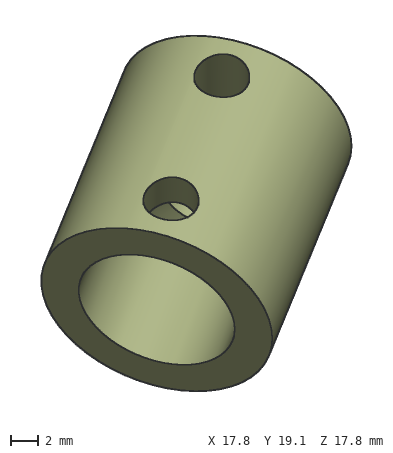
import cadquery as cq
import math

length = 19.05
outer_diameter = 17.77
wide_bore_diameter = 12.0
narrow_bore_diameter = 6.35
wide_bore_depth = length / 2
drill_point_angle = 118.0

screw_hole_diameter = 4.05
screw_hole_offset = 6.1

outer_radius = outer_diameter / 2
wide_radius = wide_bore_diameter / 2
narrow_radius = narrow_bore_diameter / 2
cone_depth = (wide_radius - narrow_radius) / math.tan(math.radians(drill_point_angle / 2))

front_y = -length / 2
back_y = length / 2
shoulder_y = front_y + wide_bore_depth

body = (
    cq.Workplane("XY")
    .moveTo(wide_radius, front_y)
    .lineTo(outer_radius, front_y)
    .lineTo(outer_radius, back_y)
    .lineTo(narrow_radius, back_y)
    .lineTo(narrow_radius, shoulder_y + cone_depth)
    .lineTo(wide_radius, shoulder_y)
    .close()
    .revolve(360, (0, 0, 0), (0, 1, 0))
)

screw_holes = (
    cq.Workplane("XY")
    .pushPoints([(0, -screw_hole_offset), (0, screw_hole_offset)])
    .circle(screw_hole_diameter / 2)
    .extrude(outer_radius)
)

result = body.cut(screw_holes)